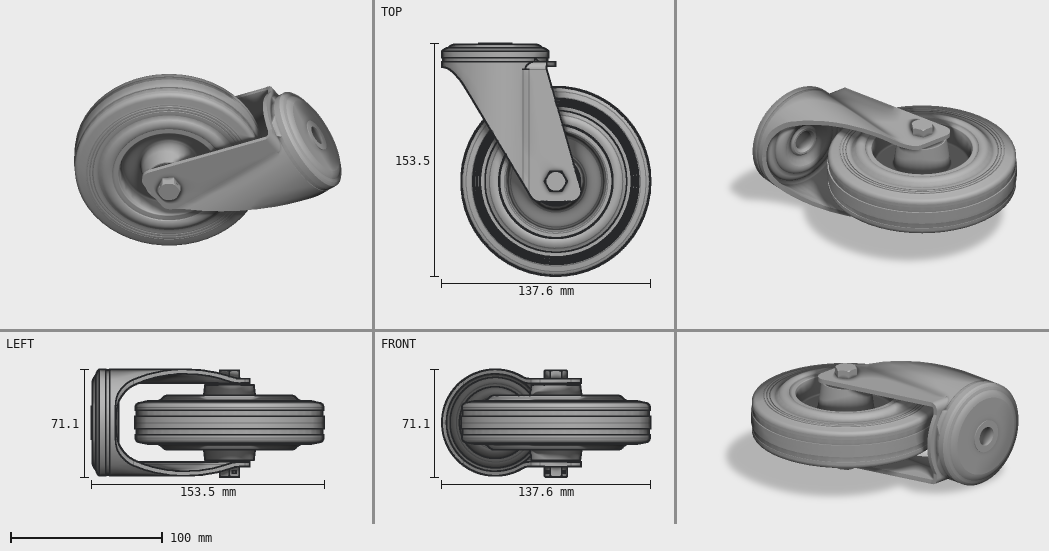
import cadquery as cq
import math


wheel_radius = 62.5
swivel_radius = 35.2
swivel_x = -39.9
sheet = 3.0

arm_outer = 29.0
arm_inner = arm_outer - sheet
arm_bottom = -13.4
arm_top_x = -6.0
arm_heel_x = 18.9
arm_corner_radius = 6.9
toe_x = -14.5
skirt_front_y = 75.2
front_edge_start = (-60.8, 63.4)
shoulder_y = 78.7
bend_radius = 4.9
crease_radius = 7.0
plate_top = 81.4
plate_bottom = plate_top - sheet
neck_radius = swivel_radius - 0.5
flare_radius = 36.8
flare_half_width = 23.0
skirt_inner_radius = swivel_radius - sheet
skirt_fillet = 2.0
tongue_radius = 39.9

cover_rim_top = 85.7
cover_top = 90.4
bushing_top = 91.0
bushing_bottom = 74.9
bushing_radius = 10.9
bushing_bore = 6.5
bushing_chamfer = 1.5
race_radius = 25.8
race_y = 76.5
race_foot_radius = 29.8
cup_radius = 23.6
cup_bottom = 73.0

rim_radius = 46.7
rim_half_width = 18.0
rim_edge_z = 14.5
shoulder_radius = 62.0
tread_groove_radius = 61.5
tread_groove_inner_z = 4.1
tread_groove_outer_z = 8.0
side_grooves = (49.7, 51.7, 53.7)
side_groove_width = 0.9
side_groove_floor = 13.7
web_half = 4.1
ledge_z = 16.6
hub_half = 24.9
hub_top_radius = 16.1
hub_foot_radius = 18.7
hub_fillet = 1.4
hub_recess_radius = 14.5
hub_recess_depth = 0.9

axle_radius = 4.0
sleeve_radius = 7.7
hex_flats = 13.0
head_height = 5.5
nut_height = 6.9
hex_corner_bevel = 0.8
mark_length = 2.5
mark_height = 1.7
mark_depth = 0.5


def about_swivel(profile):
    """Turn a closed (radius, height) sketch about the swivel axis."""
    return profile.close().revolve(360, (0, 0, 0), (0, 1, 0)).translate((swivel_x, 0, 0))


def about_axle(profile):
    """Turn a closed (radius, z) sketch, drawn on XZ, about the wheel axle."""
    return profile.close().revolve(360, (0, 0, 0), (0, 1, 0))


def swivel_cylinder(radius, low, high):
    """Solid cylinder on the swivel axis between two heights."""
    half_section = cq.Workplane("XY").moveTo(0, low).lineTo(radius, low).lineTo(radius, high).lineTo(0, high)
    return about_swivel(half_section)


def slab(left, right, low, high, half_width):
    """Block between two X and two Y limits, centred on the mid plane."""
    block = cq.Workplane("XY").box(right - left, high - low, 2 * half_width, centered=(False, False, True))
    return block.translate((left, low, 0))


def arm_block(top, half_width, corner):
    """Block from the swivel axis to the arm heel with rounded upper edges."""
    return slab(swivel_x, arm_heel_x, arm_bottom, top, half_width).edges("|X and >Y").fillet(corner)


def creased_prism(radius, half_width, top, crease):
    """Round skirt joined to a flat-sided arm block, the concave creases between them blended."""
    prism = swivel_cylinder(radius, arm_bottom, top)
    prism = prism.union(slab(swivel_x, arm_heel_x, arm_bottom, top, half_width))
    crease_x = swivel_x + math.sqrt(radius**2 - half_width**2)
    reach = sheet / 4
    creases = cq.selectors.BoxSelector(
        (crease_x - reach, arm_bottom, -half_width - reach),
        (crease_x + reach, top, half_width + reach),
    )
    return prism.edges("|Y").edges(creases).fillet(crease)


def fork_side_outline():
    """Side outline of the fork: swept front edge and raked rear edge."""
    front_x = swivel_x - swivel_radius
    front_sweep = [(-70.1, 73.8), (-66.0, 70.0), front_edge_start]
    edge_slope = (toe_x - front_edge_start[0], arm_bottom - front_edge_start[1])
    outline = (
        cq.Workplane("XY")
        .moveTo(front_x, plate_top)
        .lineTo(front_x, skirt_front_y)
        .spline(front_sweep, tangents=[(1, 0), edge_slope], includeCurrent=True)
        .lineTo(toe_x, arm_bottom)
        .lineTo(arm_heel_x, arm_bottom)
        .lineTo(arm_top_x, shoulder_y - bend_radius)
        .lineTo(arm_top_x, plate_top)
        .close()
        .extrude(swivel_radius, both=True)
    )
    return outline.edges("|Z and <Y").fillet(arm_corner_radius)


def make_fork():
    """Bent sheet fork: round skirt, two flat arms, top plate with neck and rear tongue."""
    lower_top = shoulder_y - bend_radius
    outside = creased_prism(swivel_radius, arm_outer, lower_top, crease_radius)
    outside = outside.union(swivel_cylinder(swivel_radius, lower_top, shoulder_y))
    outside = outside.union(arm_block(shoulder_y, arm_outer, bend_radius))

    inside = creased_prism(skirt_inner_radius, arm_inner, lower_top, crease_radius + sheet)
    hollow = swivel_cylinder(skirt_inner_radius, arm_bottom, plate_bottom)
    inside = inside.union(hollow.edges(">Y").fillet(skirt_fillet))
    inside = inside.union(arm_block(shoulder_y - sheet, arm_inner, bend_radius - sheet))
    body = outside.cut(inside)
    body = body.intersect(fork_side_outline())

    tongue = swivel_cylinder(tongue_radius, shoulder_y - sheet, shoulder_y).intersect(
        slab(arm_top_x - sheet, swivel_x + tongue_radius, arm_bottom, shoulder_y, arm_outer - bend_radius)
    )
    neck = swivel_cylinder(neck_radius, plate_bottom, plate_top)
    flare = about_swivel(
        cq.Workplane("XY")
        .moveTo(0, shoulder_y)
        .lineTo(flare_radius, shoulder_y)
        .lineTo(neck_radius, plate_top)
        .lineTo(0, plate_top)
    )
    rear_half = slab(swivel_x, arm_top_x, shoulder_y, plate_top, flare_half_width)
    race = about_swivel(
        cq.Workplane("XY")
        .moveTo(0, plate_bottom)
        .lineTo(race_foot_radius, plate_bottom)
        .threePointArc((28.5, 77.0), (race_radius, race_y))
        .lineTo(0, race_y)
    )
    body = body.union(race).union(tongue).union(neck).union(flare.intersect(rear_half))

    bushing_hole = swivel_cylinder(bushing_radius, arm_bottom, plate_top)
    axle_hole = cq.Workplane("XY").circle(axle_radius).extrude(swivel_radius, both=True)
    return body.cut(bushing_hole).cut(axle_hole)


def make_cover():
    """Domed cover plate on top of the fork."""
    return about_swivel(
        cq.Workplane("XY")
        .moveTo(bushing_radius, plate_top)
        .lineTo(swivel_radius, plate_top)
        .lineTo(swivel_radius, cover_rim_top)
        .lineTo(34.2, 86.5)
        .lineTo(33.2, 87.3)
        .lineTo(31.0, 88.1)
        .threePointArc((29.0, 89.5), (26.4, cover_top))
        .lineTo(bushing_radius, cover_top)
    )


def make_cup():
    """Pressed lower bearing cup under the fork plate."""
    return about_swivel(
        cq.Workplane("XY")
        .moveTo(bushing_radius, race_y)
        .lineTo(cup_radius, race_y)
        .threePointArc((21.3, 73.4), (17.2, cup_bottom))
        .lineTo(bushing_radius, bushing_bottom + bushing_chamfer)
    )


def make_bushing():
    """Tubular swivel bushing with a chamfered lower end."""
    tube = swivel_cylinder(bushing_radius, bushing_bottom, bushing_top)
    tube = tube.cut(swivel_cylinder(bushing_bore, bushing_bottom, bushing_top))
    return tube.faces("<Y").chamfer(bushing_chamfer)


def make_tyre():
    """Rubber tyre with shallow tread grooves and fine rings on each side wall."""
    half = (
        cq.Workplane("XZ")
        .moveTo(rim_radius, 0)
        .lineTo(rim_radius, rim_edge_z)
        .lineTo(53.4, rim_edge_z)
        .lineTo(55.5, 13.8)
        .lineTo(59.3, 13.0)
        .threePointArc((61.1, 12.1), (shoulder_radius, 10.1))
        .lineTo(shoulder_radius, tread_groove_outer_z)
        .lineTo(tread_groove_radius, tread_groove_outer_z)
        .lineTo(tread_groove_radius, tread_groove_inner_z)
        .lineTo(wheel_radius, tread_groove_inner_z)
        .lineTo(wheel_radius, 0)
    )
    half = about_axle(half)
    for inner in side_grooves:
        ring = cq.Workplane("XY").circle(inner + side_groove_width).circle(inner).extrude(rim_half_width)
        half = half.cut(ring.translate((0, 0, side_groove_floor)))
    return half.union(half.mirror("XY"))


def make_rim():
    """Wheel centre: hub, web and beaded rim."""
    fillet_sag = hub_fillet * (1 - math.sqrt(0.5))
    half = (
        cq.Workplane("XZ")
        .moveTo(sleeve_radius, 0)
        .lineTo(sleeve_radius, hub_half - hub_recess_depth)
        .lineTo(hub_recess_radius, hub_half - hub_recess_depth)
        .lineTo(hub_recess_radius + hub_recess_depth, hub_half)
        .lineTo(hub_top_radius, hub_half)
        .lineTo(hub_foot_radius, web_half + hub_fillet)
        .threePointArc(
            (hub_foot_radius + fillet_sag, web_half + fillet_sag),
            (hub_foot_radius + hub_fillet, web_half),
        )
        .lineTo(30.0, web_half)
        .threePointArc((31.0, 4.5), (31.5, 5.4))
        .lineTo(33.2, 15.8)
        .threePointArc((33.5, 16.5), (34.1, ledge_z))
        .lineTo(37.1, ledge_z)
        .lineTo(37.6, 17.2)
        .threePointArc((40.2, rim_half_width), (43.9, 16.5))
        .threePointArc((45.0, 15.4), (rim_radius, rim_edge_z))
        .lineTo(rim_radius, 0)
    )
    half = about_axle(half)
    return half.union(half.mirror("XY"))


def hexagon(height):
    """Hexagon prism with flats facing +Y and -Y, corners bevelled at the outer end."""
    across_corners = hex_flats / math.cos(math.pi / 6)
    prism = cq.Workplane("XY").polygon(6, across_corners).extrude(height)
    cone = cq.Workplane("XY").circle(across_corners / 2).extrude(height)
    return prism.intersect(cone.faces(">Z").chamfer(hex_corner_bevel))


def make_sleeve():
    """Spacer tube through the hub, reaching from arm to arm."""
    return cq.Workplane("XY").circle(sleeve_radius).circle(axle_radius).extrude(arm_inner, both=True)


def make_bolt():
    """Hexagon bolt whose shank ends flush with the nut."""
    tip = -(arm_outer + nut_height)
    head = hexagon(head_height).translate((0, 0, arm_outer))
    shank = cq.Workplane("XY").workplane(offset=tip).circle(axle_radius).extrude(arm_outer - tip)
    return head.union(shank)


def make_nut():
    """Nut with a small square recess on every second flat."""
    nut = hexagon(nut_height)
    recess = cq.Workplane("XY").box(mark_length, 2 * mark_depth, mark_height)
    recess = recess.translate((0, hex_flats / 2, nut_height / 2))
    for angle in (0, 120, 240):
        nut = nut.cut(recess.rotate((0, 0, 0), (0, 0, 1), angle))
    nut = nut.cut(cq.Workplane("XY").circle(axle_radius).extrude(nut_height))
    return nut.mirror("XY").translate((0, 0, -arm_outer))


fork = make_fork()
cover = make_cover()
cup = make_cup()
bushing = make_bushing()
tyre = make_tyre()
rim = make_rim()
sleeve = make_sleeve()
bolt = make_bolt()
nut = make_nut()

bodies = [fork, cover, cup, bushing, tyre, rim, sleeve, bolt, nut]
result = cq.Compound.makeCompound([body.val() for body in bodies])